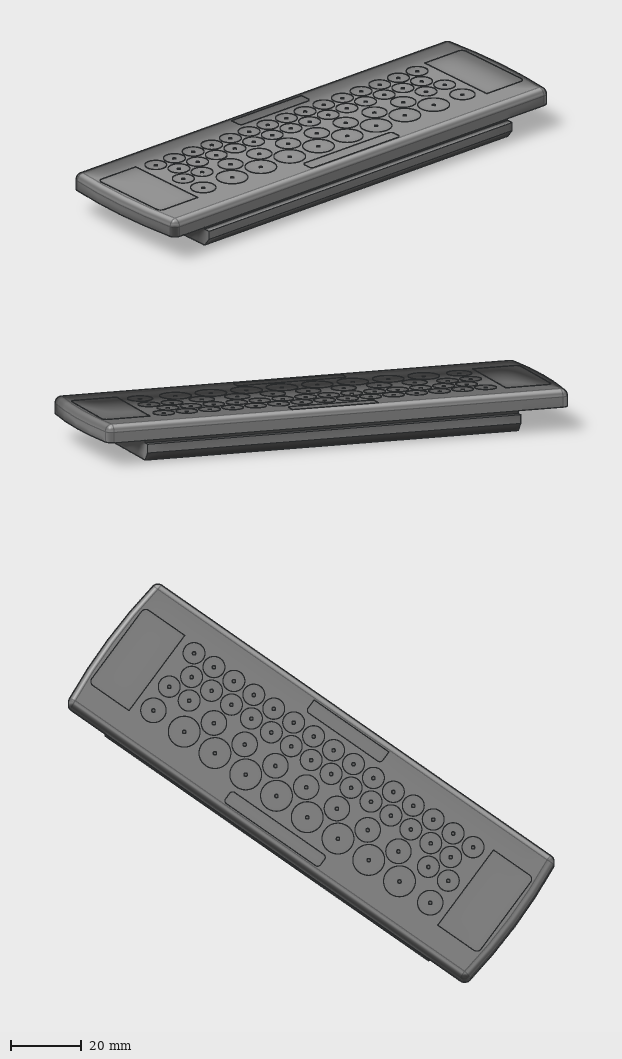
import cadquery as cq
import math

total_height = 12.0

plate_width = 43.97
plate_length = 141.72
plate_thickness = 5.0
end_bow = 1.45
corner_radius = 2.0
top_edge_radius = 2.0

foot_width = 40.0
foot_length = 112.5
foot_shift = 1.5
foot_chamfer_width = 2.0
foot_chamfer_height = 2.5
neck_width = 36.0
neck_height = 2.0
foot_height = total_height - plate_thickness

mark_depth = 0.1
label_width = 27.0
label_length = 14.0
label_center_y = 60.65
label_corner_radius = 1.5
grip_width = 4.0
grip_center_x = 17.5
left_grip_length = 26.0
right_grip_length = 33.0
grip_corner_radius = 1.0

small_diameter = 6.2
medium_diameter = 7.2
large_diameter = 9.0
point_diameter = 1.0
point_depth = 0.5
small_column_step = 6.0
small_pitch = small_column_step / math.cos(math.radians(30))
small_first_x = -10.8
small_first_count = 15
end_pair = 2
large_pitch = 10.69
large_x = 9.4
large_count = 8
medium_x = 2.45
medium_count = large_count - 1


def column(x, count, pitch):
    """Points of a column along Y, centred on the X axis."""
    return [(x, (i - (count - 1) / 2) * pitch) for i in range(count)]


def make_plate():
    half_width = plate_width / 2
    half_length = plate_length / 2
    corner_y = half_length - end_bow
    return (
        cq.Workplane("XY", origin=(0, 0, foot_height))
        .moveTo(-half_width, -corner_y)
        .threePointArc((0, -half_length), (half_width, -corner_y))
        .lineTo(half_width, corner_y)
        .threePointArc((0, half_length), (-half_width, corner_y))
        .close()
        .extrude(plate_thickness)
        .edges("|Z").fillet(corner_radius)
        .faces(">Z").edges().fillet(top_edge_radius)
    )


def make_foot():
    half_foot = foot_width / 2
    half_base = half_foot - foot_chamfer_width
    half_neck = neck_width / 2
    shoulder_z = foot_height - neck_height
    return (
        cq.Workplane("XZ")
        .moveTo(0, 0)
        .lineTo(half_base, 0)
        .lineTo(half_foot, foot_chamfer_height)
        .lineTo(half_foot, shoulder_z)
        .lineTo(half_neck, shoulder_z)
        .lineTo(half_neck, foot_height)
        .lineTo(0, foot_height)
        .mirrorY()
        .extrude(foot_length / 2, both=True)
        .translate((foot_shift, 0, 0))
    )


def recess(width, length, center, rounded_edges, radius):
    """Cutter for a shallow rectangular recess in the top face."""
    return (
        cq.Workplane("XY", origin=(*center, total_height - mark_depth))
        .rect(width, length)
        .extrude(mark_depth)
        .edges(rounded_edges).fillet(radius)
    )


def cut_discs(body, points, diameter, depth):
    discs = (
        cq.Workplane("XY", origin=(0, 0, total_height - depth))
        .pushPoints(points)
        .circle(diameter / 2)
        .extrude(depth)
    )
    return body.cut(discs)


def cut_labels(body):
    """Label recess at each end, rounded on its outer corners."""
    for center_y, outer_edges in ((label_center_y, "|Z and >Y"), (-label_center_y, "|Z and <Y")):
        label = recess(label_width, label_length, (0, center_y), outer_edges, label_corner_radius)
        body = body.cut(label)
    return body


def cut_grips(body):
    """Long recess by each side; the left one is rounded only on its inner corners."""
    left = recess(grip_width, left_grip_length, (-grip_center_x, 0), "|Z and >X", grip_corner_radius)
    right = recess(grip_width, right_grip_length, (grip_center_x, 0), "|Z", grip_corner_radius)
    return body.cut(left).cut(right)


def cut_drill_marks(body):
    first = column(small_first_x, small_first_count, small_pitch)
    second = column(small_first_x + small_column_step, small_first_count - 1, small_pitch)
    third_x = small_first_x + 2 * small_column_step
    third = [(third_x, y) for _, y in first[:end_pair] + first[-end_pair:]]
    small = first + second + third

    large_column = column(large_x, large_count + 2, large_pitch)
    large = large_column[1:-1]
    medium = column(medium_x, medium_count, large_pitch) + [large_column[0], large_column[-1]]

    body = cut_discs(body, small, small_diameter, mark_depth)
    body = cut_discs(body, medium, medium_diameter, mark_depth)
    body = cut_discs(body, large, large_diameter, mark_depth)
    return cut_discs(body, small + medium + large, point_diameter, point_depth)


body = make_plate().union(make_foot())
body = cut_labels(body)
body = cut_grips(body)
result = cut_drill_marks(body)